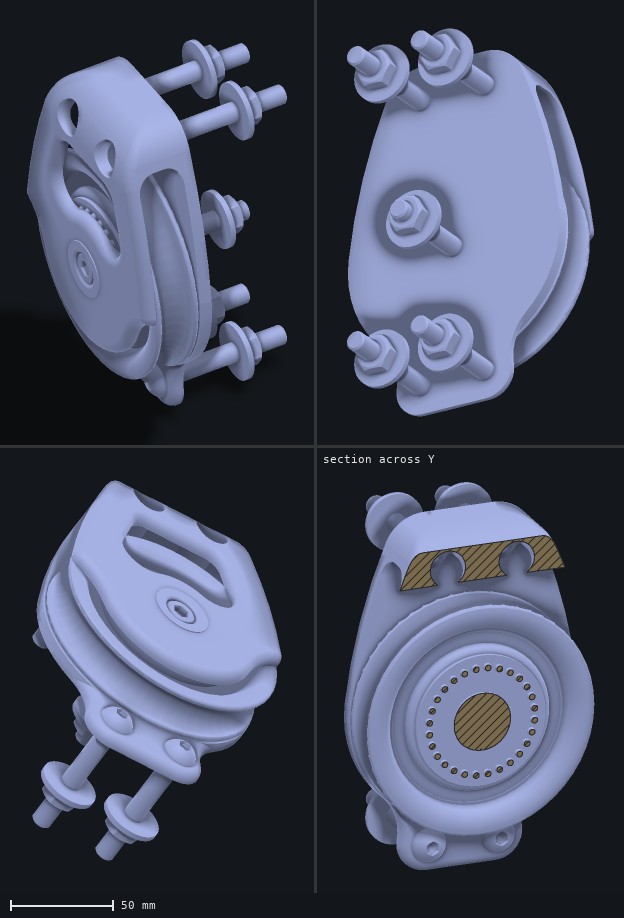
import cadquery as cq
import math


back_thickness = 6.3
housing_depth = 37.2
top_z = 100.8
disc_diameter = 120.0
disc_radius = disc_diameter / 2
top_flat_half = 18.0
side_arc_radius = 297.6
side_arc_end_z = 7.3
crown_radius = 25.0
edge_round = 5.0

slot_top_z = 83.0
front_cheek_depth = 30.9
slot_corner_radius = 9.3

nose_radius = 44.3
nose_angle = math.radians(-19.5)
scoop_radius = 35.3
shoulder_round = 5.2

window_top_z = 65.0
window_top_half = 16.5
window_corner_radius = 9.7
window_lobe_x = 19.2
window_lobe_radius = 12.6
window_hub_radius = 28.6

lug_corner_radius = 14.5
neck_radius = 26

sheave_radius = 59.5
sheave_width = 23.8
sheave_depth = (back_thickness + front_cheek_depth) / 2
groove_radius = 9.0
groove_floor_radius = 50.5
lip_round = 1.7
web_half_width = 4.6
dish_inner_radius = 45.4
hub_foot_radius = 38.0
hub_radius = 33.9
hub_step = 2.2
web_step = 0.5
web_step_radius = 44.0
ball_count = 28
ball_pitch_radius = 27.7
ball_radius = 2.0
hub_half_width = web_half_width + hub_foot_radius - hub_radius + hub_step

axle_cap_diameter = 29.8
axle_cap_proud = 0.5
axle_hole_diameter = 30.0
axle_mouth_round = 1.9
axle_recess_diameter = 17.0
axle_recess_depth = 3.0
screw_diameter = 16.0
screw_face_diameter = 14.3
screw_face_depth = 1.0
screw_socket_size = 9.1
screw_socket_depth = 3.7
screw_socket_floor = 4.8
axle_reach = 53.4

bolt_x = 18.0
bolt_top_z = 82.0
bolt_bottom_z = -70.3
bolt_reach = 63.8
bolt_diameter = 10.0
bolt_chamfer = 1.0
head_diameter = 18.0
head_height = 5.5
head_socket_size = 7.5
head_flat_diameter = head_socket_size
head_socket_depth = 1.9
socket_cone_angle = math.radians(35)
access_hole_diameter = 18.2
washer_diameter = 29.8
washer_reach = 36.6
washer_thickness = 2.8
nut_flats = 17.1
nut_face_diameter = 16.0
nut_thickness = 8.2


def polar(center, radius, angle):
    """Point at a radius and angle from a center."""
    return (center[0] + radius * math.cos(angle), center[1] + radius * math.sin(angle))


def toward(start, target, distance):
    """Point at a distance from start in the direction of target."""
    return polar(start, distance, math.atan2(target[1] - start[1], target[0] - start[0]))


def arc_middle(center, start, end):
    """Middle of the shorter arc from start to end around a center."""
    chord_middle = ((start[0] + end[0]) / 2, (start[1] + end[1]) / 2)
    return toward(center, chord_middle, math.dist(center, start))


def circle_crossing(center_a, radius_a, center_b, radius_b, side):
    """Crossing of two circles; side 1 is left of the line from a to b, -1 is right."""
    distance = math.dist(center_a, center_b)
    heading = math.atan2(center_b[1] - center_a[1], center_b[0] - center_a[0])
    cosine = (radius_a**2 + distance**2 - radius_b**2) / (2 * radius_a * distance)
    return polar(center_a, radius_a, heading + side * math.acos(cosine))


def sheet(depth):
    """XZ workplane at a depth below the mounting face, extruding toward -Y."""
    return cq.Workplane("XZ", origin=(0, -depth, 0))


axle_center = (0, 0)

side_end = (math.sqrt(disc_radius**2 - side_arc_end_z**2), side_arc_end_z)
side_center = toward(side_end, axle_center, side_arc_radius)
corner_run = top_flat_half - side_center[0]
corner_rise = top_z - side_center[1]
corner_radius = (side_arc_radius**2 - corner_run**2 - corner_rise**2) / (
    2 * (side_arc_radius - corner_rise)
)
corner_center = (top_flat_half, top_z - corner_radius)
corner_start = (top_flat_half, top_z)
corner_end = toward(side_center, corner_center, side_arc_radius)


def upper_half_outline():
    """Right half of the outline from the top middle to the end of the corner arc."""
    return (
        sheet(0)
        .moveTo(0, top_z)
        .lineTo(*corner_start)
        .threePointArc(arc_middle(corner_center, corner_start, corner_end), corner_end)
    )


def make_back_plate():
    side_middle = arc_middle(side_center, corner_end, side_end)
    upper_plate = (
        upper_half_outline()
        .threePointArc(side_middle, side_end)
        .lineTo(0, side_arc_end_z)
        .mirrorY()
        .extrude(back_thickness)
    )
    disc = sheet(0).circle(disc_radius).extrude(back_thickness)
    return upper_plate.union(disc)


def make_lug():
    """Lug with rounded front edges; its neck arcs run tangent into the disc."""
    foot = (bolt_x, bolt_bottom_z)
    neck_center = circle_crossing(
        axle_center, disc_radius + neck_radius, foot, lug_corner_radius + neck_radius, 1
    )
    neck_top = toward(axle_center, neck_center, disc_radius)
    neck_bottom = toward(foot, neck_center, lug_corner_radius)
    foot_bottom = (bolt_x, bolt_bottom_z - lug_corner_radius)
    lug = (
        sheet(0)
        .moveTo(0, neck_top[1])
        .lineTo(*neck_top)
        .threePointArc(arc_middle(neck_center, neck_top, neck_bottom), neck_bottom)
        .threePointArc(arc_middle(foot, neck_bottom, foot_bottom), foot_bottom)
        .lineTo(0, foot_bottom[1])
        .mirrorY()
        .extrude(back_thickness)
    )
    return lug.faces("<Y").edges("not >Z").fillet(edge_round)


def make_front_block():
    """Front cheek with the crown that joins it to the back plate, before the slot is cut."""
    scoop_center = polar(axle_center, nose_radius + scoop_radius, nose_angle)
    shoulder = circle_crossing(side_center, side_arc_radius, scoop_center, scoop_radius, 1)
    scoop_end = polar(axle_center, nose_radius, nose_angle)
    nose_middle = polar(axle_center, nose_radius, (nose_angle - math.pi / 2) / 2)
    block = (
        upper_half_outline()
        .threePointArc(arc_middle(side_center, corner_end, shoulder), shoulder)
        .threePointArc(arc_middle(scoop_center, shoulder, scoop_end), scoop_end)
        .threePointArc(nose_middle, (0, -nose_radius))
        .mirrorY()
        .extrude(housing_depth)
    )
    block = block.edges("|Y").edges("<X or >X").fillet(shoulder_round)
    crown = (
        cq.Workplane("YZ", origin=(-disc_radius, 0, 0))
        .rect(2 * housing_depth, 2 * top_z)
        .extrude(2 * disc_radius)
        .edges("|X and <Y and >Z")
        .fillet(crown_radius)
    )
    return block.intersect(crown)


def make_slot():
    """Space between the cheeks, open to both sides and downward, with rounded upper corners."""
    slot_width = front_cheek_depth - back_thickness
    return (
        cq.Workplane("YZ", origin=(-2 * disc_radius, -sheave_depth, 0))
        .rect(slot_width, 2 * slot_top_z)
        .extrude(4 * disc_radius)
        .edges("|X and >Z")
        .fillet(slot_corner_radius)
    )


def make_window():
    """Cutter for the window in the front cheek."""
    corner = (window_top_half, window_top_z - window_corner_radius)
    lobe_distance = window_hub_radius + window_lobe_radius
    lobe = (window_lobe_x, math.sqrt(lobe_distance**2 - window_lobe_x**2))
    lean = math.asin((window_lobe_radius - window_corner_radius) / math.dist(lobe, corner))
    rise = math.atan2(corner[1] - lobe[1], corner[0] - lobe[0])
    side_normal = rise - math.pi / 2 + lean
    corner_top = (window_top_half, window_top_z)
    corner_side = polar(corner, window_corner_radius, side_normal)
    lobe_side = polar(lobe, window_lobe_radius, side_normal)
    lobe_inner = toward(axle_center, lobe, window_hub_radius)
    lobe_bottom = polar(lobe, window_lobe_radius, -math.pi / 4)
    hub_middle = arc_middle(axle_center, lobe_inner, (0, window_hub_radius))
    return (
        sheet(sheave_depth)
        .moveTo(0, window_top_z)
        .lineTo(*corner_top)
        .threePointArc(arc_middle(corner, corner_top, corner_side), corner_side)
        .lineTo(*lobe_side)
        .threePointArc(lobe_bottom, lobe_inner)
        .threePointArc(hub_middle, (0, window_hub_radius))
        .mirrorY()
        .extrude(housing_depth - sheave_depth)
    )


def make_housing():
    front = make_front_block().cut(make_window())
    front = front.faces("<Y").edges("not |X").fillet(edge_round).cut(make_slot())
    access_holes = (
        sheet(back_thickness)
        .pushPoints([(-bolt_x, bolt_top_z), (bolt_x, bolt_top_z)])
        .circle(access_hole_diameter / 2)
        .extrude(housing_depth)
    )
    axle_hole = sheet(back_thickness).circle(axle_hole_diameter / 2).extrude(housing_depth)
    return front.cut(access_holes).cut(axle_hole).union(make_back_plate()).union(make_lug())


def make_sheave():
    """Grooved wheel with a dished web on both faces and a bearing hub."""
    half = sheave_width / 2
    hub_round = hub_foot_radius - hub_radius
    hub_shoulder = web_half_width + hub_round
    hub_middle = polar((hub_radius, web_half_width), hub_round, math.pi / 4)
    dish_foot = (dish_inner_radius, web_half_width + web_step)
    lip_start = (sheave_radius - lip_round, half)
    dish_middle = (
        lip_start[0] - (lip_start[0] - dish_foot[0]) * math.cos(math.pi / 4),
        dish_foot[1] + (lip_start[1] - dish_foot[1]) * math.sin(math.pi / 4),
    )
    lip_end = (sheave_radius - lip_round, half - 2 * lip_round)
    wheel = (
        cq.Workplane("XY", origin=(0, -sheave_depth, 0))
        .lineTo(0, hub_half_width)
        .lineTo(hub_radius, hub_half_width)
        .lineTo(hub_radius, hub_shoulder)
        .threePointArc(hub_middle, (hub_foot_radius, web_half_width))
        .lineTo(web_step_radius, web_half_width)
        .lineTo(web_step_radius, dish_foot[1])
        .lineTo(*dish_foot)
        .threePointArc(dish_middle, lip_start)
        .threePointArc((sheave_radius, half - lip_round), lip_end)
        .lineTo(lip_end[0], 0)
        .mirrorX()
        .revolve(360, (0, 0, 0), (0, 1, 0))
    )
    groove = cq.Solid.makeTorus(
        groove_floor_radius + groove_radius,
        groove_radius,
        cq.Vector(0, -sheave_depth, 0),
        cq.Vector(0, 1, 0),
    )
    return wheel.cut(cq.Workplane(groove))


def make_bearing_balls():
    ball_y = -sheave_depth - hub_half_width
    angles = [2 * math.pi * (i + 0.5) / ball_count for i in range(ball_count)]
    centers = [polar(axle_center, ball_pitch_radius, math.pi / 2 + a) for a in angles]
    return [cq.Workplane("XY").sphere(ball_radius).translate((x, ball_y, z)) for x, z in centers]


def make_shank(reach, start_depth):
    return (
        sheet(-reach)
        .circle(bolt_diameter / 2)
        .extrude(reach + start_depth)
        .faces(">Y")
        .chamfer(bolt_chamfer)
    )


def make_washer_and_nut():
    nut_corners = nut_flats / math.cos(math.pi / 6)
    nut_start = washer_reach + washer_thickness
    washer = sheet(-nut_start).circle(washer_diameter / 2).extrude(washer_thickness)
    nut = sheet(-nut_start - nut_thickness).polygon(6, nut_corners).extrude(nut_thickness)
    bevel = (nut_corners - nut_face_diameter) / 2
    chamfer_blank = (
        sheet(-nut_start - nut_thickness)
        .circle(nut_corners / 2)
        .extrude(nut_thickness)
        .faces("<Y or >Y")
        .chamfer(bevel * math.tan(math.pi / 6), bevel)
    )
    return washer.union(nut.intersect(chamfer_blank))


def make_hex_socket(size, depth, floor_diameter):
    """Cutter sunk from y = 0, one corner up, narrowing through a cone to a floor."""
    flats = size * math.cos(math.pi / 6)
    hexagon = sheet(0).transformed(rotate=(0, 0, 90)).polygon(6, size).extrude(-depth)
    cone = cq.Solid.makeCone(
        flats / 2,
        floor_diameter / 2,
        (flats - floor_diameter) / 2 * math.tan(socket_cone_angle),
        cq.Vector(0, depth, 0),
        cq.Vector(0, 1, 0),
    )
    return hexagon.union(cq.Workplane(cone))


def make_button_head():
    """Domed bolt head on the back plate with a hexagonal socket."""
    rim = (head_diameter / 2, 0)
    dome_top = (head_flat_diameter / 2, -head_height)
    sphere_center = (0, (rim[0] ** 2 - dome_top[0] ** 2 - head_height**2) / (2 * head_height))
    head = (
        cq.Workplane("XY")
        .lineTo(*rim)
        .threePointArc(arc_middle(sphere_center, rim, dome_top), dome_top)
        .lineTo(0, -head_height)
        .close()
        .revolve(360, (0, 0, 0), (0, 1, 0))
    )
    socket = make_hex_socket(head_socket_size, head_socket_depth, 0)
    socket = socket.translate((0, -head_height, 0))
    return head.cut(socket).translate((0, -back_thickness, 0))


def make_bolt():
    return make_shank(bolt_reach, back_thickness).union(make_button_head()).union(make_washer_and_nut())


def make_axle():
    """Axle whose flared recess shows the face of a socket screw."""
    cap_depth = housing_depth + axle_cap_proud
    screw_bevel = (screw_diameter - screw_face_diameter) / 2
    body = sheet(0).circle(axle_cap_diameter / 2).extrude(cap_depth)
    recess = sheet(cap_depth).circle(axle_recess_diameter / 2).extrude(-axle_recess_depth)
    body = body.cut(recess).faces("<Y").edges(cq.selectors.RadiusNthSelector(0)).fillet(axle_mouth_round)
    screw = (
        sheet(cap_depth - axle_recess_depth)
        .circle(screw_diameter / 2)
        .extrude(axle_recess_depth - screw_face_depth)
        .faces("<Y")
        .chamfer(screw_bevel)
    )
    socket = make_hex_socket(screw_socket_size, screw_socket_depth, screw_socket_floor)
    socket = socket.translate((0, screw_face_depth - cap_depth, 0))
    return body.union(screw).cut(socket).union(make_shank(axle_reach, 0)).union(make_washer_and_nut())


result = make_housing().union(make_sheave())
for ball in make_bearing_balls():
    result = result.union(ball)
result = result.union(make_axle())
bolt = make_bolt()
for bolt_z in (bolt_top_z, bolt_bottom_z):
    for x in (-bolt_x, bolt_x):
        result = result.union(bolt.translate((x, 0, bolt_z)))